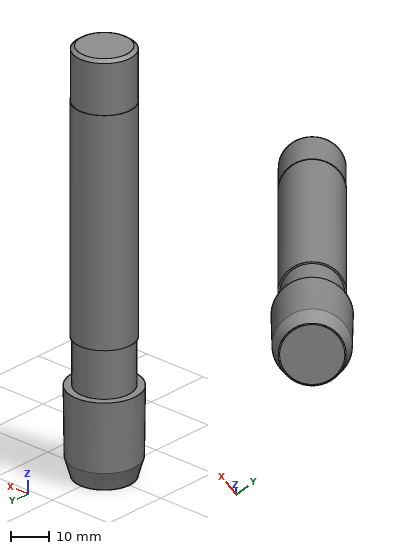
import cadquery as cq

total_height = 125.0
collar_height = 26.2
collar_lead_height = 5.6
shaft_bottom = 40.6
tip_bottom = 109.0
tip_chamfer_height = 0.9

neck_radius = 8.5
shaft_radius = 9.0
tip_radius = 8.9
end_face_radius = 7.8

collar_top_radius = 10.8
collar_lower_radius = 10.5
collar_bottom_radius = 8.9


def revolve_profile(points):
    """Revolve a closed (radius, height) outline about the Z axis."""
    return cq.Workplane("XZ").polyline(points).close().revolve(360, (0, 0), (0, 1))


def make_pin():
    """Pin with a narrow neck, a long shaft and a slightly reduced, chamfered tip."""
    chamfer_bottom = total_height - tip_chamfer_height
    return revolve_profile([
        (0, 0),
        (neck_radius, 0),
        (neck_radius, shaft_bottom),
        (shaft_radius, shaft_bottom),
        (shaft_radius, tip_bottom),
        (tip_radius, tip_bottom),
        (tip_radius, chamfer_bottom),
        (end_face_radius, total_height),
        (0, total_height),
    ])


def make_collar():
    """Tapered collar around the neck, with a steeper lead-in cone at its bottom."""
    return revolve_profile([
        (neck_radius, 0),
        (collar_bottom_radius, 0),
        (collar_lower_radius, collar_lead_height),
        (collar_top_radius, collar_height),
        (neck_radius, collar_height),
    ])


pin = make_pin()
collar = make_collar()

result = cq.Compound.makeCompound([pin.val(), collar.val()])